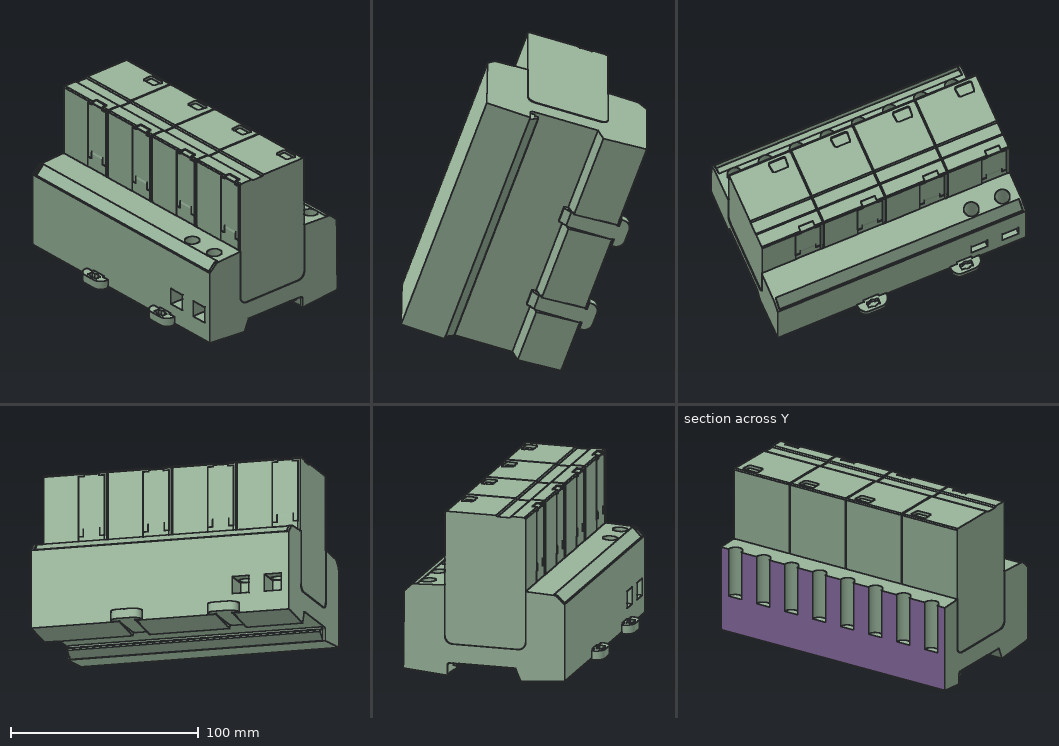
import cadquery as cq
import math

base_length = 144.0
base_depth = 90.0
total_height = 90.7
module_count = 4
module_pitch = base_length / module_count

foot_rise = 2.0
front_wall_top = 44.6
rear_wall_top = 45.0
rear_wall_lean = 0.5
chamfer_slope = 0.95
label_slope = 1.05
shoulder_height = 50.0
shoulder_slope = 0.047
shoulder_fillet = 2.9

notch_height = 7.0
notch_front_bottom = 24.5
notch_front_top = 27.5
notch_rear = 65.5
notch_fillet = 1.7

rail_lip_bottom = 0.3
rail_lip_tip = 60.5
rail_lip_tip_bottom = 4.0
rail_lip_top = 5.5
rail_lip_bevel = 0.5
rail_lip_root = 62.5

end_cap = 1.5
front_label_back = 6.3
front_label_floor = 1.3
front_label_lip = 0.5
rear_label_back = 7.5
rear_label_floor = 2.5
rear_label_lip = 1.0

tower_front = 21.7
tower_depth = 45.0
tower_rear = tower_front + tower_depth
tower_inset = 0.36
socket_floor = 17.5
socket_fillet = 4.3
tower_edge_chamfer = 0.7
top_groove_depth = 0.7
top_groove_front = 29.8
top_groove_rear = 38.3
top_groove_taper = 0.9

panel_width = 14.4
panel_depth = 0.5
latch_depth = 0.1
panel_top = 88.8
tab_width = 8.2
tab_floor = 89.7
tab_floor_rear = 24.0
tab_floor_rise = 0.5
tab_rear = 25.2
latch_shoulder = 55.9
latch_width = 9.0
latch_top = 60.0
latch_bevel = 1.2

window_front = 58.3
window_rear = 64.5
window_front_width = 8.6
window_rear_width = 9.8
window_fillet = 1.0
window_depth = 1.7

terminal_pitch = module_pitch / 2
rear_terminal_count = 2 * module_count
front_terminal_count = 2
screw_hole_diameter = 8.0
front_screw_y = 11.0
rear_screw_y = base_depth - 11.4
wire_opening = 9.4
wire_opening_centre = 17.4
wire_opening_top = wire_opening_centre + wire_opening / 2
wire_opening_depth = front_screw_y + screw_hole_diameter / 2

clip_positions = (-18.0, 36.0)
clip_width = 9.4
clip_top = notch_height
lug_width = 17.0
lug_reach = 6.9
lug_neck = 1.0
lug_fillet = 4.9
lug_neck_width = 8.6
lug_hole_y = -3.5
lug_hole_diameter = 4.2
lug_slot_length = 6.6
lug_slot_width = 3.0
lug_hole_depth = 3.6
hook_tip = 30.0
hook_top = 6.0
hook_tip_bottom = 4.5
hook_bevel_start = 25.9


def extrude_along_x(points, length, centre=0.0):
    """Prism with a (Y, Z) outline, centred along X."""
    return (
        cq.Workplane("YZ", origin=(centre - length / 2, 0, 0))
        .polyline(points)
        .close()
        .extrude(length)
    )


def box_between(x_range, y_range, z_range):
    """Box given by its limits along the three axes."""
    lows, highs = zip(x_range, y_range, z_range)
    size = [high - low for low, high in zip(lows, highs)]
    return cq.Workplane("XY").box(*size, centered=False).translate(lows)


def around(centre, width):
    """Limits of a span of the given width."""
    return (centre - width / 2, centre + width / 2)


def front_shoulder(y):
    return shoulder_height - shoulder_slope * (tower_front - y)


def rear_shoulder(y):
    return shoulder_height - shoulder_slope * (y - tower_rear)


def chamfer_run(wall_top, y_wall, shoulder_rise):
    """Horizontal length of a chamfer from the wall top up to the sloping shoulder."""
    return (shoulder_rise(y_wall) - wall_top) / (chamfer_slope - shoulder_slope)


rear_wall_y = base_depth - rear_wall_lean
front_edge_y = chamfer_run(front_wall_top, 0, front_shoulder)
rear_edge_y = rear_wall_y - chamfer_run(rear_wall_top, rear_wall_y, rear_shoulder)


def make_base():
    base = extrude_along_x(
        [
            (0, foot_rise),
            (0, front_wall_top),
            (front_edge_y, front_shoulder(front_edge_y)),
            (tower_front, shoulder_height),
            (tower_rear, shoulder_height),
            (rear_edge_y, rear_shoulder(rear_edge_y)),
            (rear_wall_y, rear_wall_top),
            (base_depth, foot_rise),
            (notch_rear, 0),
            (notch_rear, notch_height),
            (notch_front_top, notch_height),
            (notch_front_bottom, 0),
        ],
        base_length,
    )
    for y, z, radius in (
        (front_edge_y, front_shoulder(front_edge_y), shoulder_fillet),
        (rear_edge_y, rear_shoulder(rear_edge_y), shoulder_fillet),
        (notch_rear, notch_height, notch_fillet),
    ):
        base = base.edges(cq.selectors.NearestToPointSelector((0, y, z))).fillet(radius)
    return base


def label_recess(back, floor, lip, outer_y, wall_top, shoulder):
    """Cutter that sinks a flat label seat into a long chamfer, leaving a lip along its foot."""
    inward = math.copysign(1, back - outer_y)
    back_z = shoulder(back)
    floor_z = back_z - label_slope * abs(back - floor)
    lip_z = wall_top + chamfer_slope * inward * (lip - outer_y)
    return extrude_along_x(
        [(back, back_z), (floor, floor_z), (lip, lip_z), (lip, total_height), (back, total_height)],
        base_length - 2 * end_cap,
    )


def make_tower():
    """Modules joined below the shoulders, with chamfered top edges and a finger groove."""
    tower = box_between(
        around(0, base_length - 2 * tower_inset), (tower_front, tower_rear), (socket_floor, total_height)
    )
    tower = tower.edges("|X and >Z").chamfer(tower_edge_chamfer)
    tower = tower.edges("|X and <Z").fillet(socket_fillet)
    groove_floor = total_height - top_groove_depth
    groove = extrude_along_x(
        [
            (top_groove_front, total_height),
            (top_groove_front + top_groove_taper, groove_floor),
            (top_groove_rear - top_groove_taper, groove_floor),
            (top_groove_rear, total_height),
        ],
        base_length,
    )
    tower = tower.cut(groove)
    for index in range(1, module_count):
        gap_x = index * module_pitch - base_length / 2
        tower = tower.cut(
            box_between(
                around(gap_x, 2 * tower_inset), (tower_front, tower_rear), (shoulder_height, total_height)
            )
        )
    return tower


def make_side_sockets():
    """Shallow U-shaped cuts that bring the base sides level with the tower ends."""
    socket = box_between(
        around(0, base_length), (tower_front, tower_rear), (socket_floor, total_height)
    ).edges("|X and <Z").fillet(socket_fillet)
    return socket.cut(
        box_between(around(0, base_length - 2 * tower_inset), (0, base_depth), (0, total_height))
    )


def module_front_cut(x):
    """Sunk panel above a shallower latch field, opening into a notch in the top edge."""
    panel_y = tower_front + panel_depth
    y_range = (tower_front, panel_y)
    panel = box_between(around(x, panel_width), y_range, (latch_shoulder, panel_top))
    panel = panel.union(box_between(around(x, tab_width), y_range, (latch_shoulder, tab_floor)))
    latch_y = tower_front + latch_depth
    latch_field = box_between(
        around(x, panel_width), (tower_front, latch_y), (shoulder_height, latch_top - latch_bevel)
    )
    latch = extrude_along_x(
        [
            (latch_y, latch_shoulder),
            (latch_y, latch_top - latch_bevel),
            (panel_y, latch_top),
            (panel_y, latch_shoulder),
        ],
        latch_width,
        x,
    )
    notch = extrude_along_x(
        [
            (tower_front, tab_floor),
            (tab_floor_rear, tab_floor + tab_floor_rise),
            (tab_rear, tab_floor + tab_floor_rise),
            (tab_rear, total_height),
            (tower_front, total_height),
        ],
        tab_width,
        x,
    )
    return panel.cut(latch).union(latch_field).union(notch)


def module_window(x):
    """Shallow tapered window with rounded corners, wider at the rear."""
    return (
        cq.Workplane("XY", origin=(x, 0, total_height - window_depth))
        .polyline(
            [
                (-window_front_width / 2, window_front),
                (window_front_width / 2, window_front),
                (window_rear_width / 2, window_rear),
                (-window_rear_width / 2, window_rear),
            ]
        )
        .close()
        .extrude(window_depth)
        .edges("|Z")
        .fillet(window_fillet)
    )


def terminal_x(index):
    return (index + 0.5) * terminal_pitch - base_length / 2


def screw_hole(x, y):
    """Vertical hole from the shoulder down to the height of the wire openings."""
    return (
        cq.Workplane("XY", origin=(x, y, wire_opening_top))
        .circle(screw_hole_diameter / 2)
        .extrude(shoulder_height - wire_opening_top)
    )


def wire_opening_cut(x):
    return box_between(
        around(x, wire_opening), (0, wire_opening_depth), around(wire_opening_centre, wire_opening)
    )


def make_rail_lip():
    """Fixed hooked lip along the rear wall of the rail notch."""
    return extrude_along_x(
        [
            (notch_rear, rail_lip_bottom),
            (rail_lip_tip, rail_lip_tip_bottom),
            (rail_lip_tip, rail_lip_top - rail_lip_bevel),
            (rail_lip_tip + rail_lip_bevel, rail_lip_top),
            (rail_lip_root, rail_lip_top),
            (rail_lip_root, notch_height),
            (notch_rear, notch_height),
        ],
        base_length - 2 * end_cap,
    )


def clip_channel(x):
    """Slot under the front foot that bares the bottom of the clip."""
    return box_between(around(x, clip_width), (0, notch_front_top), (0, foot_rise))


def make_clip(x):
    """Sliding clip: pull lug in front, bar through the foot and hook inside the notch."""
    bar = extrude_along_x(
        [
            (-lug_neck, foot_rise),
            (hook_bevel_start, foot_rise),
            (hook_tip, hook_tip_bottom),
            (hook_tip, hook_top),
            (notch_front_bottom, hook_top),
            (notch_front_bottom, clip_top),
            (-lug_neck, clip_top),
        ],
        lug_neck_width,
        x,
    )
    lug = box_between(around(x, lug_width), (-lug_reach, -lug_neck), (foot_rise, clip_top))
    lug = lug.edges("|Z and <Y").fillet(lug_fillet)
    lug_hole = (
        cq.Workplane("XY", origin=(x, lug_hole_y, clip_top - lug_hole_depth))
        .circle(lug_hole_diameter / 2)
        .extrude(lug_hole_depth)
    )
    lug_slot = box_between(
        around(x, lug_slot_length),
        around(lug_hole_y, lug_slot_width),
        (clip_top - lug_hole_depth, clip_top),
    )
    return bar.union(lug).cut(lug_hole).cut(lug_slot)


result = make_base().cut(make_side_sockets()).union(make_tower())

result = result.cut(
    label_recess(
        front_label_back, front_label_floor, front_label_lip, 0, front_wall_top, front_shoulder
    )
)
result = result.cut(
    label_recess(
        base_depth - rear_label_back,
        base_depth - rear_label_floor,
        base_depth - rear_label_lip,
        rear_wall_y,
        rear_wall_top,
        rear_shoulder,
    )
)

for terminal in range(rear_terminal_count):
    result = result.cut(screw_hole(terminal_x(terminal), rear_screw_y))

for terminal in range(rear_terminal_count - front_terminal_count, rear_terminal_count):
    result = result.cut(screw_hole(terminal_x(terminal), front_screw_y))
    result = result.cut(wire_opening_cut(terminal_x(terminal)))

for module in range(module_count):
    module_axis = terminal_x(2 * module + 1)
    result = result.cut(module_front_cut(module_axis))
    result = result.cut(module_window(module_axis))

result = result.union(make_rail_lip())
for clip_x in clip_positions:
    result = result.cut(clip_channel(clip_x)).union(make_clip(clip_x))